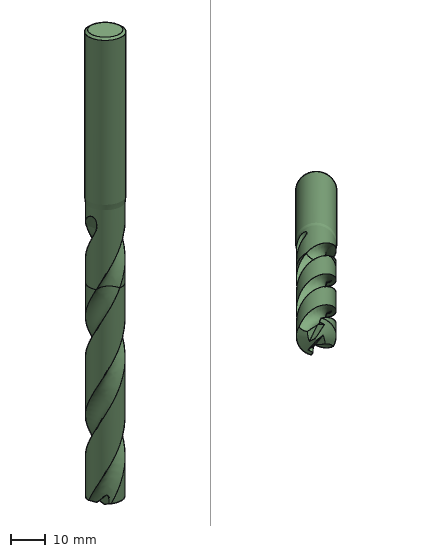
import cadquery as cq
import math

TOTAL_LENGTH = 151.0
SHANK_DIAMETER = 12.0
DRILL_DIAMETER = 11.5
SHANK_BOTTOM = 98.0
NECK_TOP = 96.2
JOINT_HEIGHT = 70.7
POINT_HEIGHT = 2.7
TOP_CHAMFER_HEIGHT = 0.6
TOP_CHAMFER_WIDTH = 0.9

FLUTE_COUNT = 2
FLUTE_PITCH = 62.8
FLUTE_RADIUS = 4.1
FLUTE_OFFSET = 6.8
FLUTE_TOP = 87.6
FLUTE_TOP_ANGLE = 238.0
RUNOUT_RISE = 7.5
RUNOUT_REACH = 6.5
RUNOUT_OUTWARD = 2.0

GASH_APEX = (2.4, -2.0, 4.5)
GASH_TILT = 20.0
GASH_LEFT = 6.3
GASH_RIGHT = 4.0
GASH_HEIGHT = 5.3
GASH_CUT_LENGTH = 6.0

shank_radius = SHANK_DIAMETER / 2
drill_radius = DRILL_DIAMETER / 2
flute_start = -1.5
flute_length = FLUTE_TOP - flute_start
flute_twist = 360 * flute_length / FLUTE_PITCH


def flute_cutter(turn):
    """Helical groove and the straight runout that leads it out of the drill."""
    top_angle = FLUTE_TOP_ANGLE + turn
    start_angle = top_angle - flute_twist
    helix = (
        cq.Workplane("XY")
        .moveTo(FLUTE_OFFSET, 0)
        .circle(FLUTE_RADIUS)
        .twistExtrude(flute_length, flute_twist)
        .rotate((0, 0, 0), (0, 0, 1), start_angle)
        .translate((0, 0, flute_start))
    )

    angle = math.radians(top_angle)
    outward = cq.Vector(math.cos(angle), math.sin(angle), 0)
    sideways = cq.Vector(-math.sin(angle), math.cos(angle), 0)
    centre = outward * FLUTE_OFFSET + cq.Vector(0, 0, FLUTE_TOP)
    direction = sideways * RUNOUT_REACH + outward * RUNOUT_OUTWARD + cq.Vector(0, 0, RUNOUT_RISE)
    end_circle = cq.Wire.makeCircle(FLUTE_RADIUS, centre, cq.Vector(0, 0, 1))
    runout = cq.Solid.extrudeLinear(end_circle, [], direction)
    return helix, runout


def gash_cutter(turn):
    """Triangular wedge with its floor leaning toward the axis at the point."""
    tilt = math.radians(GASH_TILT)
    outward = (0, -math.cos(tilt), -math.sin(tilt))
    floor = cq.Plane(origin=GASH_APEX, xDir=(1, 0, 0), normal=outward)
    return (
        cq.Workplane(floor)
        .polyline([(0, 0), (-GASH_LEFT, -GASH_HEIGHT), (GASH_RIGHT, -GASH_HEIGHT)])
        .close()
        .extrude(GASH_CUT_LENGTH)
        .rotate((0, 0, 0), (0, 0, 1), turn)
    )


def make_shank(flutes):
    """Chamfered shank with a tapered neck and the upper ends of the flutes."""
    shank = (
        cq.Workplane("XZ")
        .polyline([
            (0, JOINT_HEIGHT),
            (drill_radius, JOINT_HEIGHT),
            (drill_radius, NECK_TOP),
            (shank_radius, SHANK_BOTTOM),
            (shank_radius, TOTAL_LENGTH - TOP_CHAMFER_HEIGHT),
            (shank_radius - TOP_CHAMFER_WIDTH, TOTAL_LENGTH),
            (0, TOTAL_LENGTH),
        ])
        .close()
        .revolve(360, (0, 0), (0, 1))
    )
    for helix, runout in flutes:
        shank = shank.cut(helix).cut(cq.Workplane(runout))
    return shank


def make_head(flutes, gashes):
    """Fluted cutting head with a conical, web-thinned point."""
    head = (
        cq.Workplane("XZ")
        .polyline([
            (0, 0),
            (drill_radius, POINT_HEIGHT),
            (drill_radius, JOINT_HEIGHT),
            (0, JOINT_HEIGHT),
        ])
        .close()
        .revolve(360, (0, 0), (0, 1))
    )
    for helix, _ in flutes:
        head = head.cut(helix)
    for gash in gashes:
        head = head.cut(gash)
    return head


turns = [360 * i / FLUTE_COUNT for i in range(FLUTE_COUNT)]
flute_cutters = [flute_cutter(turn) for turn in turns]
gash_cutters = [gash_cutter(turn) for turn in turns]

shank = make_shank(flute_cutters)
cutting_head = make_head(flute_cutters, gash_cutters)

result = cq.Compound.makeCompound([shank.val(), cutting_head.val()])